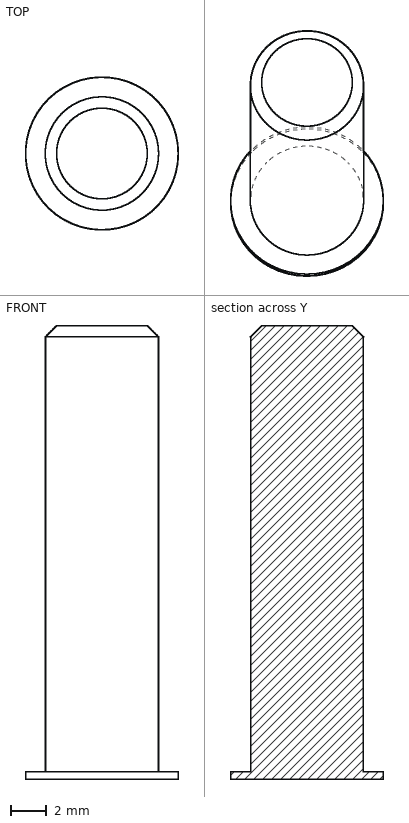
import cadquery as cq

total_height = 25.4
pin_diameter = 6.35
flange_diameter = 8.56
flange_thickness = 0.43
tip_chamfer = 0.635


def make_flange():
    """Thin round flange at the foot of the pin."""
    return cq.Workplane("XY").circle(flange_diameter / 2).extrude(flange_thickness)


def make_pin():
    """Full-height cylindrical shank with a 45-degree chamfer at its tip."""
    shank = cq.Workplane("XY").circle(pin_diameter / 2).extrude(total_height)
    return shank.faces(">Z").edges().chamfer(tip_chamfer)


result = make_flange().union(make_pin())